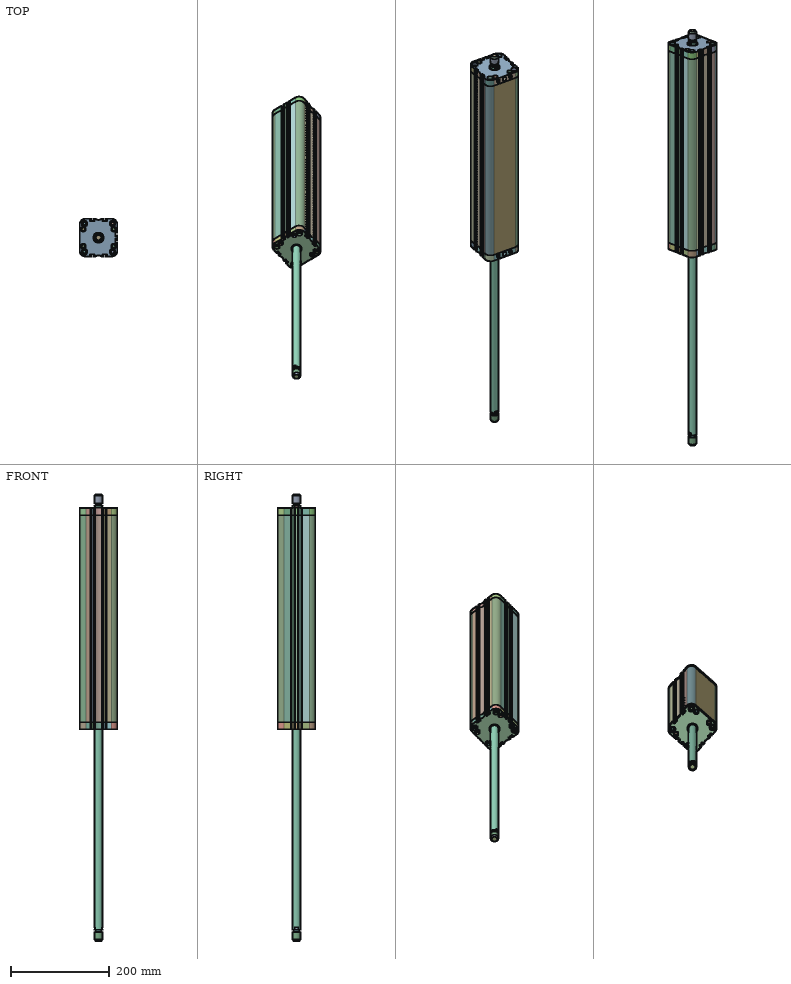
import cadquery as cq

total_length = 909.0
body_width = 77.0
corner_radius = 13.0

cap_height = 14.5
top_cap_drop = 28.0
housing_length = 450.0

rod_diameter = 16.0
neck_diameter = 12.0
neck_length = 5.0
stud_length = 18.0
end_diameter = 11.0
stud_chamfer = 4.0
across_flats = 14.5
flat_length = 4.5
neck_taper = 1.0
rod_recess_diameter = 21.0
rod_recess_depth = 2.0

slot_opening = 4.5
slot_lip = 2.0
slot_width = 9.0
slot_depth = 4.5
side_slot_offset = 13.0
end_slot_offset = 7.0
hollow_diameter = 21.0
hollow_depth = 2.3

screw_pitch = 57.0
screw_head_diameter = 12.0
screw_socket_diameter = 6.6
screw_head_depth = 7.0
screw_socket_depth = 11.0

mount_x = 31.0
mount_y = 17.0
mount_diameter = 10.0
mount_depth = 7.0
mount_core_diameter = 6.6
mount_core_depth = 11.0

port_diameter = 8.5
port_depth = 14.0
side_hole_diameter = 6.6
side_hole_offset = 14.5
side_hole_depth = 1.4

half_width = body_width / 2
rod_top = total_length / 2
housing_top = rod_top - top_cap_drop
housing_bottom = housing_top - housing_length
barrel_top = housing_top - cap_height
barrel_bottom = housing_bottom + cap_height


def box_between(x_range, y_range, z_range):
    """Axis-parallel box given by its limits."""
    size = [high - low for low, high in (x_range, y_range, z_range)]
    corner = (x_range[0], y_range[0], z_range[0])
    return cq.Workplane("XY").box(*size, centered=False).translate(corner)


def sensor_slot(z_range, offset):
    """T-shaped slot cutter in the +Y side at the given X offset."""
    half_opening = slot_opening / 2
    half_slot = slot_width / 2
    opening = box_between(
        (offset - half_opening, offset + half_opening),
        (half_width - slot_depth, half_width),
        z_range,
    )
    groove = box_between(
        (offset - half_slot, offset + half_slot),
        (half_width - slot_depth, half_width - slot_lip),
        z_range,
    )
    return opening.union(groove)


def profile_block(bottom, top):
    """Length of the slotted square profile, bored for the rod."""
    z_range = (bottom, top)
    block = (
        cq.Workplane("XY", origin=(0, 0, bottom))
        .rect(body_width, body_width)
        .extrude(top - bottom)
        .edges("|Z")
        .fillet(corner_radius)
    )
    hollow_axis = half_width - hollow_depth + hollow_diameter / 2
    hollows = (
        cq.Workplane("XY", origin=(0, 0, bottom))
        .pushPoints([(0, -hollow_axis), (0, hollow_axis)])
        .circle(hollow_diameter / 2)
        .extrude(top - bottom)
    )
    block = block.cut(hollows)
    for sign in (-1, 1):
        side_slot = sensor_slot(z_range, sign * side_slot_offset)
        end_slot = sensor_slot(z_range, sign * end_slot_offset)
        for side_angle in (0, 180):
            block = block.cut(side_slot.rotate((0, 0, 0), (0, 0, 1), side_angle))
        block = block.cut(end_slot.rotate((0, 0, 0), (0, 0, 1), -90))
    return block.faces(">Z").workplane(origin=(0, 0, top)).hole(rod_diameter)


def hole_down(points, top, diameter, depth):
    """Blind vertical holes going down from a level."""
    return (
        cq.Workplane("XY", origin=(0, 0, top))
        .pushPoints(points)
        .circle(diameter / 2)
        .extrude(-depth)
    )


def hole_in_side(y, z, diameter, depth):
    """Blind hole going into the -X side."""
    return (
        cq.Workplane("YZ", origin=(-half_width, y, z)).circle(diameter / 2).extrude(depth)
    )


def make_cap():
    """End cap with its outer face up, at the top of the housing."""
    cap = profile_block(barrel_top, housing_top)
    half_pitch = screw_pitch / 2
    screws = [(sx * half_pitch, sy * half_pitch) for sx in (-1, 1) for sy in (-1, 1)]
    mounts = [(sx * mount_x, sy * mount_y) for sx in (-1, 1) for sy in (-1, 1)]
    port_z = housing_top - cap_height / 2
    cap = cap.cut(hole_down([(0, 0)], housing_top, rod_recess_diameter, rod_recess_depth))
    cap = cap.cut(hole_down(screws, housing_top, screw_head_diameter, screw_head_depth))
    cap = cap.cut(hole_down(screws, housing_top, screw_socket_diameter, screw_socket_depth))
    cap = cap.cut(hole_down(mounts, housing_top, mount_diameter, mount_depth))
    cap = cap.cut(hole_down(mounts, housing_top, mount_core_diameter, mount_core_depth))
    cap = cap.cut(hole_in_side(0, port_z, port_diameter, port_depth))
    for sign in (-1, 1):
        y = sign * side_hole_offset
        cap = cap.cut(hole_in_side(y, port_z, side_hole_diameter, side_hole_depth))
    return cap


def make_rod():
    """Through rod with a necked, chamfered stud at each end."""
    rod_radius = rod_diameter / 2
    neck_radius = neck_diameter / 2
    neck_top = rod_top - stud_length
    neck_bottom = neck_top - neck_length
    upper_outline = [
        (rod_radius, neck_bottom),
        (neck_radius, neck_bottom + neck_taper),
        (neck_radius, neck_top - neck_taper),
        (rod_radius, neck_top),
        (rod_radius, rod_top - stud_chamfer),
        (end_diameter / 2, rod_top),
        (0, rod_top),
    ]
    lower_outline = [(radius, -z) for radius, z in reversed(upper_outline)]
    rod = (
        cq.Workplane("XZ")
        .polyline(lower_outline + upper_outline)
        .close()
        .revolve(360, (0, 0, 0), (0, 1, 0))
    )
    flat_cutter = box_between(
        (across_flats / 2, rod_diameter),
        (-rod_radius, rod_radius),
        (neck_bottom - flat_length, neck_bottom),
    )
    flat_cutters = flat_cutter.union(flat_cutter.mirror("YZ"))
    return rod.cut(flat_cutters).cut(flat_cutters.mirror("XY"))


barrel = profile_block(barrel_bottom, barrel_top)
top_cap = make_cap()
bottom_cap = top_cap.mirror("XY", (0, 0, (housing_top + housing_bottom) / 2))
rod = make_rod()

bodies = [barrel, top_cap, bottom_cap, rod]
result = cq.Compound.makeCompound([body.solids().val() for body in bodies])